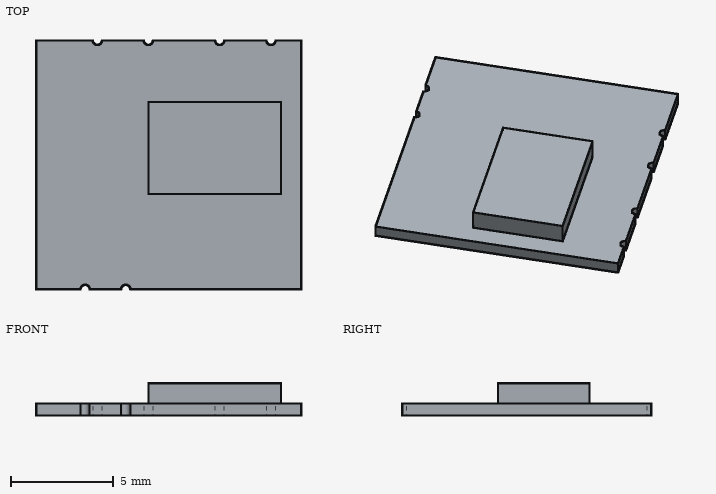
import cadquery as cq

board_length = 13.0
board_width = 12.2
board_thickness = 0.6
total_height = 1.59

module_length = 6.5
module_width = 4.5
module_left = 5.5
module_front = 4.68

notch_radius = 0.22
back_notch_positions = [3.0, 5.5, 9.0, 11.5]
front_notch_positions = [2.4, 4.4]


def make_board():
    return cq.Workplane("XY").box(board_length, board_width, board_thickness, centered=False)


def make_module():
    module_height = total_height - board_thickness
    return (
        cq.Workplane("XY", origin=(module_left, module_front, board_thickness))
        .box(module_length, module_width, module_height, centered=False)
    )


def make_notch_cutters(x_positions, edge_y):
    centers = [(x, edge_y) for x in x_positions]
    return cq.Workplane("XY").pushPoints(centers).circle(notch_radius).extrude(board_thickness)


result = (
    make_board()
    .cut(make_notch_cutters(back_notch_positions, board_width))
    .cut(make_notch_cutters(front_notch_positions, 0))
    .union(make_module())
)